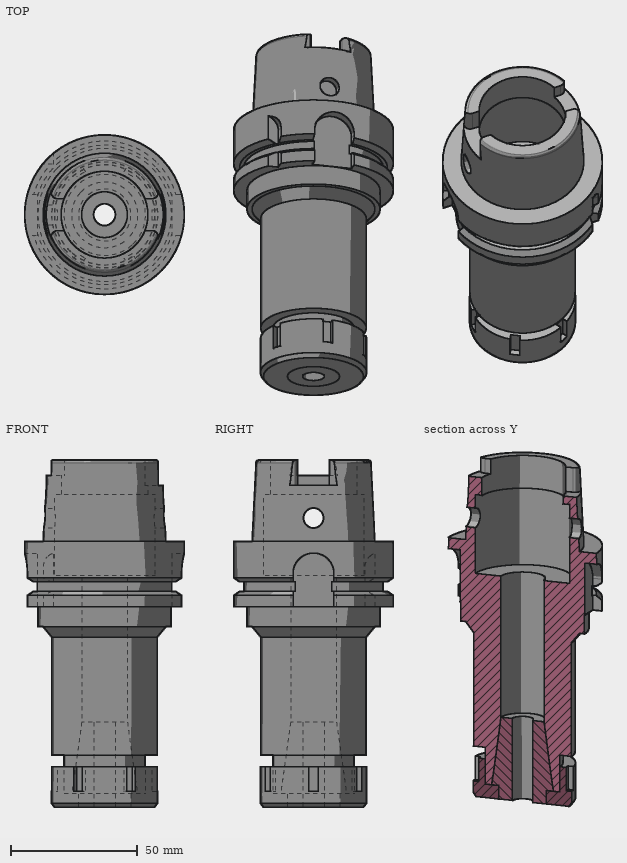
import cadquery as cq
import math


total_height = 137.0
shank_length = 32.0
flange_length = 25.9
flange_top = total_height - shank_length
flange_bottom = flange_top - flange_length
collar_bottom = 71.2
cone_bottom = 67.1
body_bottom = 20.5
nut_height = 16.0
nut_wall = 5.5

shank_base_radius = 24.2
taper_slope = 1 / 20
shank_rim_fillet = 1.1
shank_bore_radius = 17.1
shank_bore_depth = 13.4
shank_cavity_radius = 19.9
shank_bore_floor = 91.5
side_hole_diameter = 7.8
side_hole_height = 114.1

rim_slot_width = 12.6
rim_slot_flare_radius = 2.5
rim_slot_clearance = 0.03
left_rim_slot_depth = 6.0
right_rim_slot_depth = 10.0

flange_radius = 31.5
groove_radius = 27.5
groove_top = 88.9
groove_bottom = 85.2
groove_chamfer_height = 1.6
groove_chamfer_width = 2.3

key_slot_width = 16.2
key_slot_top = 100.3
key_slot_floor = 26.6

notch_offset = 20.1
notch_end_radius = 6.0
notch_end_height = 94.7

collar_radius = 26.3
cone_top_radius = 24.2
body_radius = 20.8
neck_radius = 16.0

coolant_bore_radius = 9.0
collet_radius = 13.0
collet_half_angle = 8.0
collet_nose_radius = 10.3
collet_hole_radius = 4.2
collet_length = nut_wall + (collet_radius - coolant_bore_radius) / math.tan(math.radians(collet_half_angle))

nut_radius = 21.0
nut_chamfer_height = 1.6
nut_chamfer_width = 1.2
spanner_slot_count = 6
spanner_slot_width = 3.8
spanner_slot_floor = 18.6
spanner_slot_bottom = 6.5


def shank_radius_at(z):
    """Outside radius of the tapered shank at height z."""
    return shank_base_radius - taper_slope * (z - flange_top)


def revolved(points):
    """Solid of revolution about Z from (radius, height) points, with its seam on the -Y side."""
    half_plane = cq.Plane(origin=(0, 0, 0), xDir=(0, -1, 0), normal=(-1, 0, 0))
    return cq.Workplane(half_plane).polyline(points).close().revolve(360, (0, 0), (0, 1))


def shank_blank():
    blank = revolved([
        (0, flange_top),
        (shank_base_radius, flange_top),
        (shank_radius_at(total_height), total_height),
        (0, total_height),
    ])
    return blank.faces(">Z").edges().fillet(shank_rim_fillet)


def holder_blank():
    chamfer_radius = flange_radius - groove_chamfer_width
    below_shank = revolved([
        (0, nut_wall),
        (neck_radius, nut_wall),
        (neck_radius, body_bottom),
        (body_radius, body_bottom),
        (body_radius, cone_bottom),
        (cone_top_radius, collar_bottom),
        (collar_radius, collar_bottom),
        (collar_radius, flange_bottom),
        (flange_radius, flange_bottom),
        (flange_radius, groove_bottom - groove_chamfer_height),
        (chamfer_radius, groove_bottom),
        (groove_radius, groove_bottom),
        (groove_radius, groove_top),
        (chamfer_radius, groove_top),
        (flange_radius, groove_top + groove_chamfer_height),
        (flange_radius, flange_top),
        (0, flange_top),
    ])
    return below_shank.union(shank_blank())


def holder_cavity():
    """Stepped bore of the shank, coolant bore and collet seat."""
    lip = total_height - shank_bore_depth
    return revolved([
        (0, nut_wall),
        (collet_radius, nut_wall),
        (coolant_bore_radius, collet_length),
        (coolant_bore_radius, shank_bore_floor),
        (shank_cavity_radius, shank_bore_floor),
        (shank_cavity_radius, lip),
        (shank_bore_radius, lip),
        (shank_bore_radius, total_height),
        (0, total_height),
    ])


def rim_slot(depth, side):
    """Slot in the shank rim, flaring out along the shank; side is -1 or +1 along X."""
    floor = total_height - depth
    half_width = rim_slot_width / 2
    rim = shank_radius_at(floor) + rim_slot_clearance
    flare_y = half_width + rim_slot_flare_radius
    flare_x = math.sqrt((rim - rim_slot_flare_radius) ** 2 - flare_y ** 2)
    rim_angle = math.atan2(flare_y, flare_x)
    end_x = rim * math.cos(rim_angle)
    end_y = rim * math.sin(rim_angle)
    mid_angle = (rim_angle - math.pi / 2) / 2
    mid_x = flare_x + rim_slot_flare_radius * math.cos(mid_angle)
    mid_y = flare_y + rim_slot_flare_radius * math.sin(mid_angle)
    return (
        cq.Workplane("XY", origin=(0, 0, floor))
        .moveTo(0, -half_width)
        .lineTo(side * flare_x, -half_width)
        .threePointArc((side * mid_x, -mid_y), (side * end_x, -end_y))
        .lineTo(side * flange_radius, -end_y)
        .lineTo(side * flange_radius, end_y)
        .lineTo(side * end_x, end_y)
        .threePointArc((side * mid_x, mid_y), (side * flare_x, half_width))
        .lineTo(0, half_width)
        .close()
        .extrude(depth)
    )


def side_hole():
    return (
        cq.Workplane("YZ")
        .center(0, side_hole_height)
        .circle(side_hole_diameter / 2)
        .extrude(flange_radius, both=True)
    )


def round_topped_slot(center_y, radius, center_z, start_x, length):
    """Slot open at the flange underside, round at the top, running along X from start_x."""
    return (
        cq.Workplane("YZ", origin=(start_x, center_y, 0))
        .moveTo(-radius, flange_bottom)
        .lineTo(-radius, center_z)
        .threePointArc((0, center_z + radius), (radius, center_z))
        .lineTo(radius, flange_bottom)
        .close()
        .extrude(length)
    )


def key_slot(side):
    radius = key_slot_width / 2
    return round_topped_slot(0, radius, key_slot_top - radius, side * key_slot_floor, side * flange_radius)


def corner_notch():
    center_y = notch_offset + notch_end_radius
    return round_topped_slot(center_y, notch_end_radius, notch_end_height, -notch_offset, -flange_radius)


def make_holder():
    holder = holder_blank().cut(holder_cavity())
    holder = holder.cut(rim_slot(left_rim_slot_depth, -1))
    holder = holder.cut(rim_slot(right_rim_slot_depth, 1))
    holder = holder.cut(side_hole())
    for side in (-1, 1):
        holder = holder.cut(key_slot(side))
    return holder.cut(corner_notch())


def make_collet():
    return revolved([
        (collet_hole_radius, 0),
        (collet_nose_radius, 0),
        (collet_nose_radius, nut_wall),
        (collet_radius, nut_wall),
        (coolant_bore_radius, collet_length),
        (collet_hole_radius, collet_length),
    ])


def make_nut():
    nut = revolved([
        (collet_nose_radius, 0),
        (nut_radius - nut_chamfer_width, 0),
        (nut_radius, nut_chamfer_height),
        (nut_radius, nut_height),
        (neck_radius, nut_height),
        (neck_radius, nut_wall),
        (collet_nose_radius, nut_wall),
    ])
    slot = cq.Workplane("XY").box(
        nut_radius,
        spanner_slot_width,
        nut_height,
        centered=(False, True, False),
    ).translate((spanner_slot_floor, 0, spanner_slot_bottom))
    pitch_angle = 360 / spanner_slot_count
    for index in range(spanner_slot_count):
        nut = nut.cut(slot.rotate((0, 0, 0), (0, 0, 1), index * pitch_angle))
    return nut


holder = make_holder()
collet = make_collet()
nut = make_nut()

result = cq.Compound.makeCompound([holder.val(), collet.val(), nut.val()])